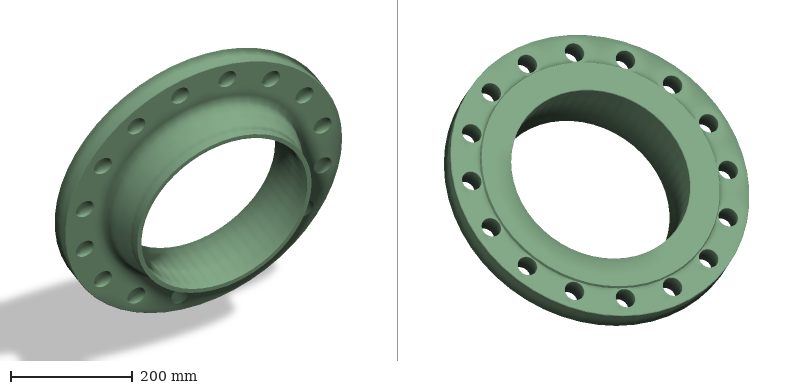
import cadquery as cq
import math

overall_length = 115.0
bore_diameter = 307.9
bore_entry_chamfer = 1.0
pipe_diameter = 323.9

flange_diameter = 515.0
flange_back = 42.0
flange_edge_chamfer = 1.0

raised_face_height = 4.0
raised_face_diameter = 410.0
raised_face_taper = 25.0

hub_base_diameter = 362.0
hub_end = 97.0
hub_root_radius = 12.0
hub_end_radius = 10.0

bolt_count = 16
bolt_hole_diameter = 33.0
bolt_hole_chamfer = 0.5
bolt_circle_diameter = 450.0

bore_radius = bore_diameter / 2
pipe_radius = pipe_diameter / 2
flange_radius = flange_diameter / 2
flange_land_radius = flange_radius - flange_edge_chamfer
raised_face_radius = raised_face_diameter / 2
raised_face_flare = raised_face_height * math.tan(math.radians(raised_face_taper))


def make_body():
    """Revolve the half section of flange, raised face, hub and pipe stub about X."""
    section = (
        cq.Workplane("XY")
        .moveTo(bore_entry_chamfer, bore_radius)
        .lineTo(0, bore_radius + bore_entry_chamfer)
        .lineTo(0, raised_face_radius)
        .lineTo(raised_face_height, raised_face_radius + raised_face_flare)
        .lineTo(raised_face_height, flange_land_radius)
        .lineTo(raised_face_height + flange_edge_chamfer, flange_radius)
        .lineTo(flange_back - flange_edge_chamfer, flange_radius)
        .lineTo(flange_back, flange_land_radius)
        .lineTo(flange_back, hub_base_diameter / 2)
        .lineTo(hub_end, pipe_radius)
        .lineTo(overall_length, pipe_radius)
        .lineTo(overall_length, bore_radius)
        .close()
    )
    return section.revolve(360, (0, 0, 0), (1, 0, 0))


def circle_at(body, x, diameter):
    """Select the full circular edge of the given diameter at X = x."""
    margin = 0.1
    reach = diameter / 2 + margin
    box = cq.selectors.BoxSelector(
        (x - margin, -reach, -reach), (x + margin, reach, reach), boundingbox=True
    )
    return body.edges("%CIRCLE").edges(box)


def round_hub(body):
    """Blend the hub cone into the flange's rear face and into the pipe stub."""
    body = circle_at(body, flange_back, hub_base_diameter).fillet(hub_root_radius)
    return circle_at(body, hub_end, pipe_diameter).fillet(hub_end_radius)


def bolt_holes():
    """Cutters for through holes, chamfered at the front face, straddling the Y and Z axes."""
    pitch = 360 / bolt_count
    hole_radius = bolt_hole_diameter / 2
    mouth_radius = hole_radius + bolt_hole_chamfer
    chamfer_end = raised_face_height + bolt_hole_chamfer
    cutter = (
        cq.Workplane("XZ")
        .lineTo(mouth_radius, 0)
        .lineTo(mouth_radius, raised_face_height)
        .lineTo(hole_radius, chamfer_end)
        .lineTo(hole_radius, flange_back)
        .lineTo(0, flange_back)
        .close()
        .revolve(360, (0, 0, 0), (0, 1, 0))
        .val()
    )
    return (
        cq.Workplane("YZ")
        .polarArray(bolt_circle_diameter / 2, pitch / 2, 360, bolt_count)
        .eachpoint(cutter, useLocalCoordinates=True)
    )


result = round_hub(make_body()).cut(bolt_holes()).solids()